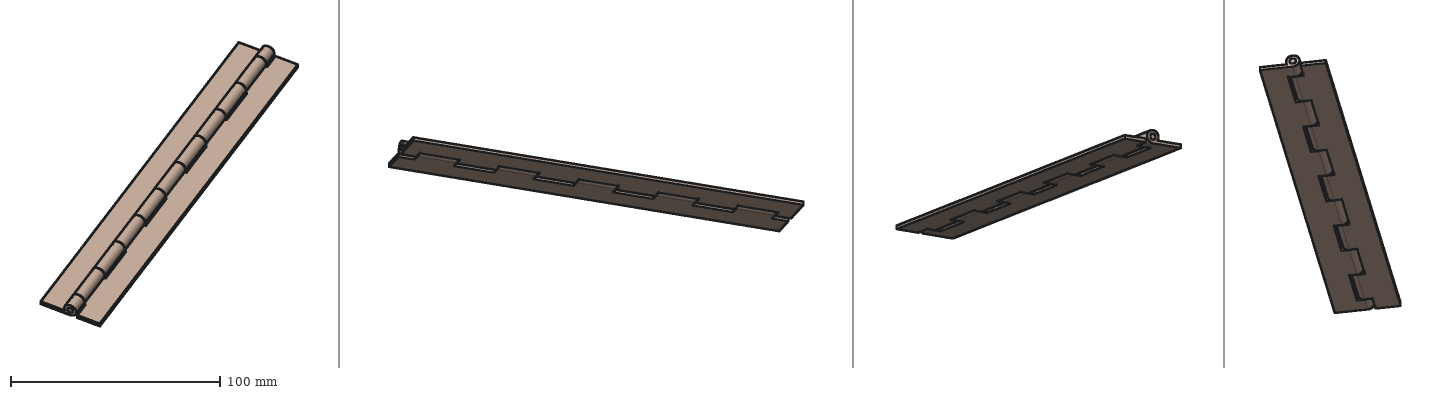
import cadquery as cq

HINGE_LENGTH = 200.0
HINGE_WIDTH = 32.0
SHEET = 1.8
PIN_DIAMETER = 3.0
KNUCKLE_PITCH = 20.5
KNUCKLE_GAP = 0.2
NOTCH_EDGE = 3.8
KNUCKLE_COUNT = 11

PIN_RADIUS = PIN_DIAMETER / 2
BARREL_RADIUS = PIN_RADIUS + SHEET
AXIS_HEIGHT = BARREL_RADIUS
INNER_JOINTS = KNUCKLE_COUNT - 1
FIRST_JOINT = -(INNER_JOINTS - 1) * KNUCKLE_PITCH / 2


def knuckle_span(index):
    """Start and end along Y of one knuckle, counted from the -Y end."""
    joint_before = FIRST_JOINT + (index - 1) * KNUCKLE_PITCH
    joint_after = joint_before + KNUCKLE_PITCH
    start = -HINGE_LENGTH / 2 if index == 0 else joint_before + KNUCKLE_GAP / 2
    end = HINGE_LENGTH / 2 if index == INNER_JOINTS else joint_after - KNUCKLE_GAP / 2
    return start, end


def rod(radius, start, end):
    """Cylinder on the pin axis between two Y positions."""
    profile = cq.Workplane("XZ", origin=(0, start, AXIS_HEIGHT)).circle(radius)
    return profile.extrude(start - end)


def plate(inner_x, outer_x, start, end):
    """Flat sheet between two X and two Y positions, lying on Z = 0."""
    width = abs(outer_x - inner_x)
    center = ((inner_x + outer_x) / 2, (start + end) / 2)
    return cq.Workplane("XY").center(*center).rect(width, end - start).extrude(SHEET)


def make_leaf(side, first_knuckle):
    """Leaf on side -1 or +1 of the pin, carrying every second knuckle."""
    half_length = HINGE_LENGTH / 2
    leaf = plate(side * NOTCH_EDGE, side * HINGE_WIDTH / 2, -half_length, half_length)
    for index in range(first_knuckle, KNUCKLE_COUNT, 2):
        start, end = knuckle_span(index)
        leaf = leaf.union(plate(0, side * NOTCH_EDGE, start, end))
        leaf = leaf.union(rod(BARREL_RADIUS, start, end))
    return leaf.cut(rod(PIN_RADIUS, -half_length, half_length))


left_leaf = make_leaf(side=-1, first_knuckle=0)
right_leaf = make_leaf(side=1, first_knuckle=1)
pin = rod(PIN_RADIUS, -HINGE_LENGTH / 2, HINGE_LENGTH / 2)

result = cq.Compound.makeCompound([left_leaf.val(), right_leaf.val(), pin.val()])